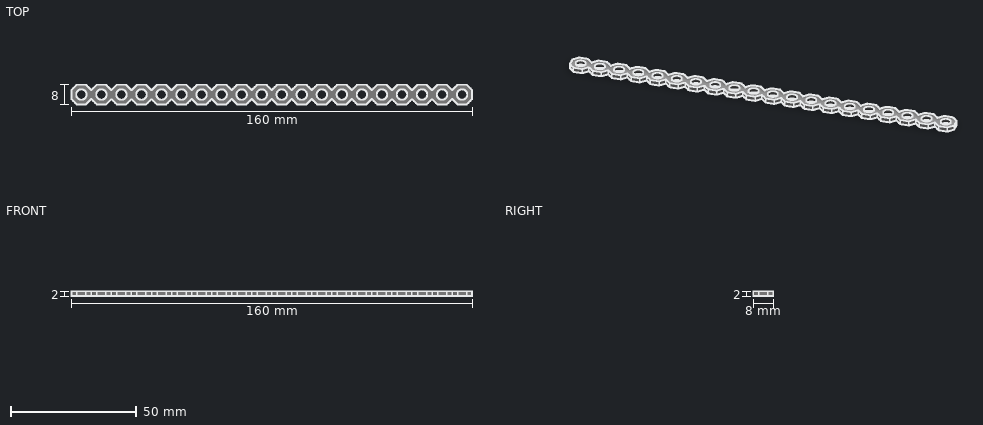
import cadquery as cq

strip_length = 160.0
link_count = 20
flat_share = 0.45
hole_clearance = 0.1

pitch = strip_length / link_count
thickness = pitch / 4
half_width = pitch / 2
half_flat = flat_share * half_width
corner_cut = half_width - half_flat
hole_diameter = pitch / 2 + hole_clearance

first_center_x = half_width - strip_length / 2
link_centers = [(first_center_x + i * pitch, 0) for i in range(link_count)]


def octagon_link(center):
    """Square plate with its four vertical corners cut off at 45 degrees."""
    square = cq.Workplane("XY").center(*center).rect(pitch, pitch).extrude(thickness)
    return square.edges("|Z").chamfer(corner_cut)


strip = octagon_link(link_centers[0])
for link_center in link_centers[1:]:
    strip = strip.union(octagon_link(link_center))
strip = strip.clean()

holes = cq.Workplane("XY").pushPoints(link_centers).circle(hole_diameter / 2).extrude(thickness)
result = strip.cut(holes)